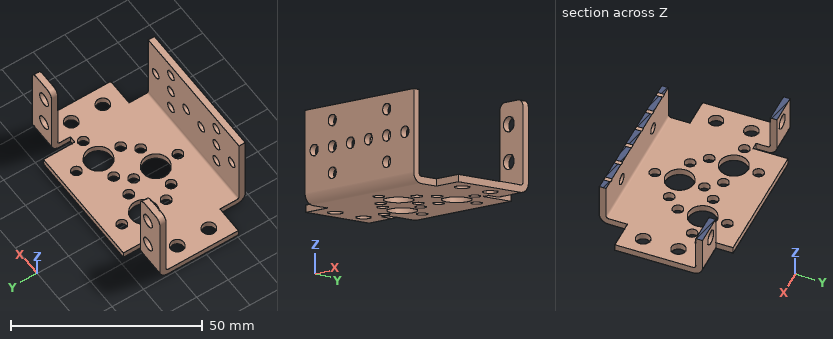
import cadquery as cq

thickness = 2.0
inner_bend_radius = 0.7
outer_bend_radius = inner_bend_radius + thickness

width = 59.0
depth = 37.0
height = 25.0

front_width = 42.0
front_step_depth = 8.0
tongue_width = 37.0
tab_width = 8.95
tab_outer_y = 33.0
notch_start_y = 27.0
tab_corner_radius = 2.0

small_diameter = 3.0
mount_diameter = 4.0
motor_diameter = 8.0
pattern_radius = 7.0
pattern_x = 10.5
front_pattern_z = 13.9
center_motor_y = 14.0
side_motor_y = 24.95
mount_pitch = 10.05
base_mount_x = 24.5
base_mount_y = 14.0
tab_mount_x = 24.0
tab_mount_z = 8.95


def block(x_min, x_max, y_min, y_max, z_max):
    """Box standing on the underside plane."""
    size = (x_max - x_min, y_max - y_min, z_max)
    return cq.Workplane("XY").box(*size, centered=False).translate((x_min, y_min, 0))


def cross(x, y):
    """Four points around a centre, one pattern radius away."""
    r = pattern_radius
    return [(x + r, y), (x - r, y), (x, y + r), (x, y - r)]


def drill_base(points, diameter):
    return cq.Workplane("XY").pushPoints(points).circle(diameter / 2).extrude(thickness)


def drill_upright(points, diameter, outer_y):
    """Holes along Y through an upright sheet, running from outer_y to +Y."""
    plane = cq.Workplane("XZ", origin=(0, outer_y, 0))
    return plane.pushPoints(points).circle(diameter / 2).extrude(-thickness)


def bent_strip(x_min, x_max, y_outer, y_end, direction):
    """L-shaped strip: an upright with its outer face at y_outer and a foot to y_end.

    direction is +1 when the foot runs to +Y and -1 when it runs to -Y.
    """
    y_inner = y_outer + direction * thickness
    profile = [(y_outer, 0), (y_end, 0), (y_end, thickness),
               (y_inner, thickness), (y_inner, height), (y_outer, height)]
    strip = cq.Workplane("YZ", origin=(x_min, 0, 0)).polyline(profile).close().extrude(x_max - x_min)
    outer_edge = cq.selectors.NearestToPointSelector(((x_min + x_max) / 2, y_outer, 0))
    inner_edge = cq.selectors.NearestToPointSelector(((x_min + x_max) / 2, y_inner, thickness))
    strip = strip.edges("|X").edges(outer_edge).fillet(outer_bend_radius)
    return strip.edges("|X").edges(inner_edge).fillet(inner_bend_radius)


base = block(-width / 2, width / 2, front_step_depth, notch_start_y, thickness)
tongue = block(-tongue_width / 2, tongue_width / 2, front_step_depth, depth, thickness)

front = bent_strip(-front_width / 2, front_width / 2, 0, front_step_depth, 1)
left_tab = bent_strip(-width / 2, -width / 2 + tab_width, tab_outer_y, notch_start_y, -1)
left_tab = left_tab.edges("|Y and >Z").fillet(tab_corner_radius)
right_tab = left_tab.mirror("YZ")
body = base.union(tongue).union(front).union(left_tab).union(right_tab)

motor_centers = [(-pattern_x, side_motor_y), (pattern_x, side_motor_y), (0, center_motor_y)]
body = body.cut(drill_base(motor_centers, motor_diameter))
for x, y in motor_centers:
    body = body.cut(drill_base(cross(x, y), small_diameter))

for x in (-pattern_x, pattern_x):
    points = cross(x, front_pattern_z) + [(x, front_pattern_z)]
    body = body.cut(drill_upright(points, small_diameter, 0))

for side in (-1, 1):
    for step in (0, mount_pitch):
        base_point = (side * base_mount_x, base_mount_y + step)
        tab_point = (side * tab_mount_x, tab_mount_z + step)
        body = body.cut(drill_base([base_point], mount_diameter))
        body = body.cut(drill_upright([tab_point], mount_diameter, tab_outer_y - thickness))

result = body.clean()